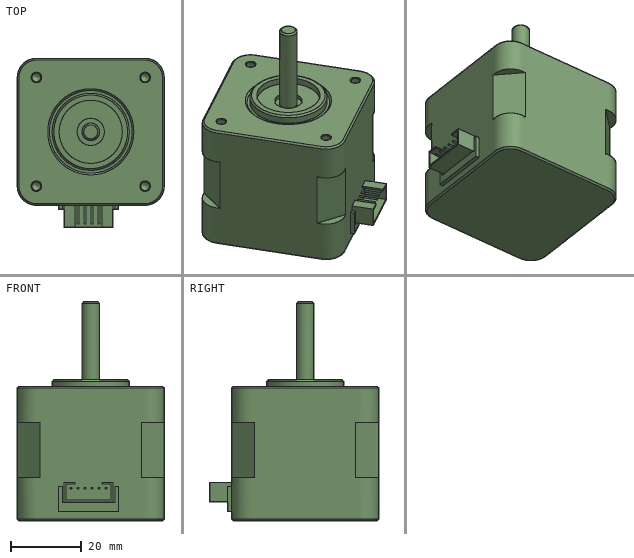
import cadquery as cq
import math

body_width = 42.0
total_height = 62.55
rear_cap_top = 12.4
front_cap_bottom = 28.1
body_top = 38.4
cap_corner_radius = 5.5
core_corner_chamfer = 6.55
edge_chamfer = 0.5

boss_diameter = 22.0
boss_height = 1.9
groove_diameter = 24.6
groove_wall_angle = 45
groove_depth = 0.5
recess_diameter = 18.0
recess_depth = 1.9
bearing_pocket_diameter = 7.75
bearing_pocket_depth = 1.0

shaft_diameter = 5
shaft_chamfer = 0.5

hole_spacing = 31.0
hole_diameter = 2.5
hole_depth = 4.5
hole_chamfer = 0.25
drill_tip_angle = 118

connector_x = -0.6
connector_width = 13.9
connector_bottom = 5.45
connector_top = 11.0
connector_reach = 6.25
connector_wall = 0.5
connector_gap = 7.6
pin_count = 6
pin_pitch = 2.0
pin_diameter = 0.5
pin_z = 9.3
pin_reach = 5.25

plate_width = 17.0
plate_bottom = 2.6
plate_top = 9.75
plate_reach = 1.1
plate_slot_width = 14.95
plate_slot_bottom = 5.25

boss_top = body_top + boss_height
recess_floor = boss_top - recess_depth
bearing_pocket_floor = recess_floor - bearing_pocket_depth
connector_face_y = -body_width / 2


def square_prism(bottom, top):
    """Square block of the body width between two heights."""
    return (
        cq.Workplane("XY")
        .workplane(offset=bottom)
        .rect(body_width, body_width)
        .extrude(top - bottom)
    )


def cylinder(diameter, bottom, top):
    """Round bar on the shaft axis between two heights."""
    return cq.Workplane("XY").workplane(offset=bottom).circle(diameter / 2).extrude(top - bottom)


def connector_block(width, bottom, top, reach):
    """Block standing out from the -Y face, centred on the connector."""
    block = cq.Workplane("XY").box(width, reach, top - bottom, centered=(True, False, False))
    return block.translate((connector_x, connector_face_y - reach, bottom))


def make_body():
    """Two rounded end caps with a corner-chamfered core between them."""
    rear_cap = square_prism(0, rear_cap_top).edges("|Z").fillet(cap_corner_radius)
    rear_cap = rear_cap.faces("<Z").edges().chamfer(edge_chamfer)
    core = square_prism(rear_cap_top, front_cap_bottom).edges("|Z").chamfer(core_corner_chamfer)
    front_cap = square_prism(front_cap_bottom, body_top).edges("|Z").fillet(cap_corner_radius)
    front_cap = front_cap.faces(">Z").edges().chamfer(edge_chamfer)
    return rear_cap.union(core).union(front_cap)


def add_boss_and_shaft(body):
    """Groove with a sloping outer wall, recessed pilot boss and shaft."""
    groove_floor = body_top - groove_depth
    groove = (
        cq.Workplane("XY")
        .workplane(offset=body_top)
        .circle(groove_diameter / 2)
        .extrude(-groove_depth, taper=groove_wall_angle)
    )
    boss = cylinder(boss_diameter, groove_floor, boss_top).faces(">Z").edges().chamfer(edge_chamfer)
    shaft = cylinder(shaft_diameter, bearing_pocket_floor, total_height)
    shaft = shaft.faces(">Z").edges().chamfer(shaft_chamfer)
    return (
        body.cut(groove)
        .union(boss)
        .cut(cylinder(recess_diameter, recess_floor, boss_top))
        .cut(cylinder(bearing_pocket_diameter, bearing_pocket_floor, recess_floor))
        .union(shaft)
    )


def cut_mounting_holes(body):
    """Four blind drilled holes with chamfered mouths and conical bottoms in the front cap."""
    radius = hole_diameter / 2
    mouth_radius = radius + hole_chamfer
    tip_depth = radius / math.tan(math.radians(drill_tip_angle / 2))
    hole = (
        cq.Workplane("XZ")
        .polyline(
            [
                (0, 0),
                (mouth_radius, 0),
                (radius, -hole_chamfer),
                (radius, -hole_depth),
                (0, -hole_depth - tip_depth),
            ]
        )
        .close()
        .revolve(360, (0, 0), (0, 1))
    )
    for side_x in (-1, 1):
        for side_y in (-1, 1):
            x = side_x * hole_spacing / 2
            y = side_y * hole_spacing / 2
            body = body.cut(hole.translate((x, y, body_top)))
    return body


def make_plate():
    """U-shaped plate, open at the top."""
    plate = connector_block(plate_width, plate_bottom, plate_top, plate_reach)
    return plate.cut(connector_block(plate_slot_width, plate_slot_bottom, plate_top, plate_reach))


def make_connector():
    """Open-fronted shell with a gap in its top wall, and a row of pins."""
    shell = connector_block(connector_width, connector_bottom, connector_top, connector_reach)
    cavity = connector_block(
        connector_width - 2 * connector_wall,
        connector_bottom + connector_wall,
        connector_top - connector_wall,
        connector_reach,
    )
    top_gap = connector_block(connector_gap, connector_top - connector_wall, connector_top, connector_reach)
    pins = (
        cq.Workplane("XZ", origin=(connector_x, connector_face_y, pin_z))
        .rarray(pin_pitch, 0.6, pin_count, 1)
        .circle(pin_diameter / 2)
        .extrude(pin_reach)
    )
    return shell.cut(cavity).cut(top_gap).union(pins)


body = cut_mounting_holes(add_boss_and_shaft(make_body()))
result = body.union(make_plate()).union(make_connector())